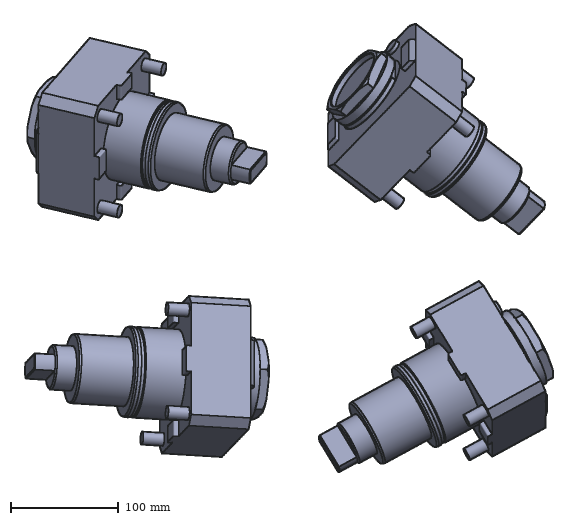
import cadquery as cq
import math

HEX_END = 9.5
COLLAR_END = 18.4
BOSS_START = 19.7
BLOCK_FRONT = 24.1
BLOCK_BACK = 81.5
NECK_START = 119.8
LAND_START = 124.3
LAND_END = 129.5
SHANK_END = 181.5
SHAFT_END = 201.5
TANG_END = 221.5

BLOCK_SIZE = 125.0
HALF_SIZE = BLOCK_SIZE / 2
BLOCK_CHAMFER = 8.6

SHANK_RADIUS = 42.5
NECK_RADIUS = 39.5
NOSE_RADIUS = 32.5
LEAD_LENGTH = 2.0
LEAD_DEPTH = 0.7
RING_RADIUS = 2.0
RING_PEAK = 41.9

KEY_HEIGHT = 4.5
KEY_WIDTH = 43.9
TONGUE_HEIGHT = 4.9
TONGUE_WIDTH = 24.8
KEY_REACH = 15.5
EDGE_FILLET = 1.3
BOLT_RADIUS = 6.2
BOLT_OFFSET = 49.8
BOLT_PROJECTION = 20.2
PIN_RADIUS = 7.0
PIN_Y = -32.0
PIN_Z = 48.0
PIN_PROJECTION = 4.0

ACROSS_FLATS = 67.3
HEX_CORNER = ACROSS_FLATS / math.sqrt(3)
HEX_CROWN_RADIUS = 34.8
HEX_CROWN_ANGLE = 30
COLLAR_RADIUS = 39.0
GROOVE_RADIUS = ACROSS_FLATS / 2
FLANGE_RADIUS = 39.6
FLANGE_DEPTH = 4.9
SHAFT_RADIUS = 21.0
TANG_RADIUS = 19.5
SHAFT_CHAMFER = SHAFT_RADIUS - TANG_RADIUS
TANG_THICKNESS = 15.7
TANG_CHAMFER = 0.9
RECESS_RADIUS = 30.3
RECESS_CHAMFER = 0.7
RECESS_DEPTH = 6.0


def disc(radius, x_start, x_end, y=0, z=0):
    """Cylinder along X between two stations."""
    return cq.Workplane("YZ", origin=(x_start, y, z)).circle(radius).extrude(x_end - x_start)


def beam(x_start, x_end, width, height):
    """Box along X between two stations, centred on the axis."""
    return cq.Workplane("YZ", origin=(x_start, 0, 0)).rect(width, height).extrude(x_end - x_start)


def turned(profile):
    """Solid of revolution about X from (x, radius) points."""
    return cq.Workplane("XY").polyline(profile).close().revolve(360, (0, 0, 0), (1, 0, 0))


def around_axis(body, angle):
    return body.rotate((0, 0, 0), (1, 0, 0), angle)


def make_block():
    block = beam(BLOCK_FRONT, BLOCK_BACK, BLOCK_SIZE, BLOCK_SIZE)
    return block.edges("|X").chamfer(BLOCK_CHAMFER)


def make_shank():
    shank = turned([
        (BLOCK_BACK, 0),
        (BLOCK_BACK, SHANK_RADIUS),
        (NECK_START, SHANK_RADIUS),
        (NECK_START, NECK_RADIUS),
        (LAND_START, NECK_RADIUS),
        (LAND_START, SHANK_RADIUS),
        (LAND_END - LEAD_LENGTH, SHANK_RADIUS),
        (LAND_END, SHANK_RADIUS - LEAD_DEPTH),
        (LAND_END, NOSE_RADIUS),
        (SHANK_END - LEAD_LENGTH, NOSE_RADIUS),
        (SHANK_END, NOSE_RADIUS - LEAD_DEPTH),
        (SHANK_END, 0),
    ])
    ring_section = cq.Workplane("XY").center(LAND_START - RING_RADIUS, RING_PEAK - RING_RADIUS)
    ring = ring_section.circle(RING_RADIUS).revolve(
        360, (RING_RADIUS - LAND_START, RING_RADIUS - RING_PEAK, 0), (0, RING_RADIUS - RING_PEAK, 0))
    return shank.union(ring)


def make_key():
    """Front key at the +Y side, bevelled at 45 degrees along its outer edge."""
    key = (
        cq.Workplane("XY", origin=(0, 0, -KEY_WIDTH / 2))
        .polyline([
            (BLOCK_FRONT, HALF_SIZE),
            (BLOCK_FRONT - KEY_HEIGHT, HALF_SIZE - KEY_HEIGHT),
            (BLOCK_FRONT - KEY_HEIGHT, HALF_SIZE - KEY_REACH),
            (BLOCK_FRONT, HALF_SIZE - KEY_REACH),
        ])
        .close()
        .extrude(KEY_WIDTH)
    )
    return key.edges("|X").fillet(EDGE_FILLET)


def make_tongue():
    """Rear tongue at the +Y side, rounded along its two long rear edges."""
    tongue = cq.Workplane("XY").box(TONGUE_HEIGHT, KEY_REACH, TONGUE_WIDTH)
    tongue = tongue.edges(">X and |Y").fillet(EDGE_FILLET)
    return tongue.translate((BLOCK_BACK + TONGUE_HEIGHT / 2, HALF_SIZE - KEY_REACH / 2, 0))


def make_bore():
    """Through bore and front counterbore that hold the spindle."""
    bore = disc(SHAFT_RADIUS, BLOCK_FRONT, SHANK_END)
    return bore.union(disc(FLANGE_RADIUS, BLOCK_FRONT, BLOCK_FRONT + FLANGE_DEPTH))


def make_housing():
    housing = make_block().union(make_shank())
    for angle in (0, 180):
        housing = housing.union(around_axis(make_key(), angle))
    for angle in (0, 90, 180, 270):
        housing = housing.union(around_axis(make_tongue(), angle))
        bolt = disc(BOLT_RADIUS, BLOCK_BACK, BLOCK_BACK + BOLT_PROJECTION, BOLT_OFFSET, BOLT_OFFSET)
        housing = housing.union(around_axis(bolt, angle))
    stop_pin = disc(PIN_RADIUS, BLOCK_FRONT - PIN_PROJECTION, BLOCK_FRONT, PIN_Y, PIN_Z)
    return housing.union(stop_pin).cut(make_bore())


def make_recess():
    """Shallow round pocket in the nut face, chamfered at its mouth."""
    return turned([
        (0, 0),
        (0, RECESS_RADIUS + RECESS_CHAMFER),
        (RECESS_CHAMFER, RECESS_RADIUS),
        (RECESS_DEPTH, RECESS_RADIUS),
        (RECESS_DEPTH, 0),
    ])


def make_nut():
    """Hexagon with conically chamfered front corners, followed by a round collar."""
    crown_length = (HEX_CORNER - HEX_CROWN_RADIUS) * math.tan(math.radians(HEX_CROWN_ANGLE))
    hexagon = cq.Workplane("YZ").polygon(6, 2 * HEX_CORNER).extrude(HEX_END)
    crown = turned([
        (0, 0),
        (0, HEX_CROWN_RADIUS),
        (crown_length, HEX_CORNER),
        (HEX_END, HEX_CORNER),
        (HEX_END, 0),
    ])
    collar = disc(COLLAR_RADIUS, HEX_END, COLLAR_END)
    return hexagon.intersect(crown).union(collar).cut(make_recess())


def make_boss():
    """Round boss with two wrench flats facing -Y and +Y."""
    boss = disc(COLLAR_RADIUS, BOSS_START, BLOCK_FRONT)
    return boss.intersect(beam(BOSS_START, BLOCK_FRONT, ACROSS_FLATS, 2 * COLLAR_RADIUS))


def make_tang():
    tang = disc(TANG_RADIUS, SHAFT_END, TANG_END)
    tang = tang.intersect(beam(SHAFT_END, TANG_END, 2 * TANG_RADIUS, TANG_THICKNESS))
    return tang.faces(">X").chamfer(TANG_CHAMFER)


def make_spindle():
    shaft = disc(SHAFT_RADIUS, BLOCK_FRONT, SHAFT_END).faces(">X").chamfer(SHAFT_CHAMFER)
    flange = disc(FLANGE_RADIUS, BLOCK_FRONT, BLOCK_FRONT + FLANGE_DEPTH)
    groove_core = disc(GROOVE_RADIUS, COLLAR_END, BOSS_START)
    spindle = make_nut().union(groove_core).union(make_boss())
    return spindle.union(flange).union(shaft).union(make_tang())


housing = make_housing()
spindle = make_spindle()

result = cq.Compound.makeCompound([housing.val(), spindle.val()])